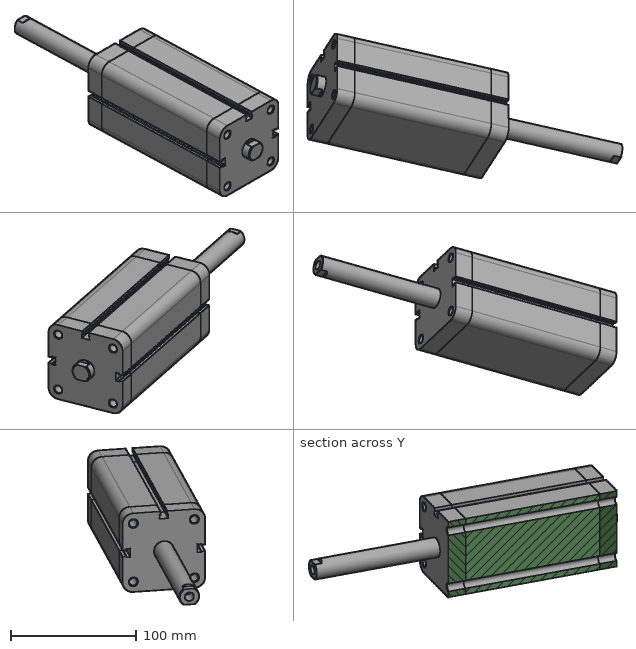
import cadquery as cq
import math

overall_length = 261.0
rod_front_reach = 107.0
rod_rear_reach = 7.8
cap_length = 15.0
body_length = overall_length - rod_front_reach - rod_rear_reach
tube_length = body_length - 2 * cap_length

rod_front_x = -overall_length / 2
rod_rear_x = overall_length / 2
front_cap_x = rod_front_x + rod_front_reach
tube_x = front_cap_x + cap_length
rear_cap_x = tube_x + tube_length

section_width = 67.0
corner_radius = 8.5
bolt_spacing = 49.5
bolt_hole_diameter = 6.5
bolt_hole_chamfer = 0.5

slot_mouth_width = 5.5
slot_mouth_depth = 3.1
slot_inner_width = 7.0
slot_depth = 6.3
slot_angles = (0, 90, -90)

rod_diameter = 16.2
flat_thickness = 13.3
flat_length = 6.0
flat_run_out = 1.0
front_chamfer = 0.4
rear_chamfer = 0.8
thread_hole_diameter = 7.3
thread_hole_depth = 14.0
drill_tip_angle = 118.0


def slot_cutter(start_x, length):
    """T-shaped prism that opens through the top face."""
    top_z = section_width / 2
    shoulder_z = top_z - slot_mouth_depth
    floor_z = top_z - slot_depth
    mouth = slot_mouth_width / 2
    inner = slot_inner_width / 2
    outline = [
        (-mouth, top_z),
        (-mouth, shoulder_z),
        (-inner, shoulder_z),
        (-inner, floor_z),
        (inner, floor_z),
        (inner, shoulder_z),
        (mouth, shoulder_z),
        (mouth, top_z),
    ]
    return cq.Workplane("YZ", origin=(start_x, 0, 0)).polyline(outline).close().extrude(length)


def profile_block(start_x, length):
    """Rounded square block with bolt holes, a rod bore and three T-slots."""
    plane = cq.Workplane("YZ", origin=(start_x, 0, 0))
    block = plane.rect(section_width, section_width).extrude(length).edges("|X").fillet(corner_radius)
    bolt_holes = (
        plane.rect(bolt_spacing, bolt_spacing, forConstruction=True)
        .vertices()
        .circle(bolt_hole_diameter / 2)
        .extrude(length)
    )
    rod_bore = plane.circle(rod_diameter / 2).extrude(length)
    block = block.cut(bolt_holes).cut(rod_bore)
    for angle in slot_angles:
        block = block.cut(slot_cutter(start_x, length).rotate((0, 0, 0), (1, 0, 0), angle))
    return block


def end_cap(start_x, outer_face):
    """Profile block whose bolt holes are chamfered on its outer face."""
    cap = profile_block(start_x, cap_length)
    hole_edges = cap.faces(outer_face).edges("%CIRCLE").edges(cq.selectors.RadiusNthSelector(0))
    return hole_edges.chamfer(bolt_hole_chamfer)


def flat_cutter(end_x, inward):
    """Prism that cuts the upper flat at a rod end, with a sloping run-out."""
    flat_z = flat_thickness / 2
    outer_z = rod_diameter / 2
    run_out_x = end_x + inward * flat_length
    outline = [
        (end_x, flat_z),
        (run_out_x, flat_z),
        (run_out_x + inward * flat_run_out, outer_z),
        (end_x, outer_z),
    ]
    return cq.Workplane("XZ").polyline(outline).close().extrude(rod_diameter / 2, both=True)


def thread_hole_cutter():
    """Blind hole with a drill tip, along the rod axis from its front end."""
    radius = thread_hole_diameter / 2
    floor_x = rod_front_x + thread_hole_depth
    tip_length = radius / math.tan(math.radians(drill_tip_angle / 2))
    outline = [
        (rod_front_x, 0),
        (rod_front_x, radius),
        (floor_x, radius),
        (floor_x + tip_length, 0),
    ]
    return cq.Workplane("XY").polyline(outline).close().revolve(360, (0, 0, 0), (1, 0, 0))


def make_rod():
    """Through rod with wrench flats at both ends."""
    rod = cq.Workplane("YZ", origin=(rod_front_x, 0, 0)).circle(rod_diameter / 2).extrude(overall_length)
    rod = rod.faces("<X").chamfer(front_chamfer).faces(">X").chamfer(rear_chamfer)
    upper_flats = (
        flat_cutter(rod_front_x, 1),
        flat_cutter(rod_rear_x, -1),
    )
    for upper_flat in upper_flats:
        rod = rod.cut(upper_flat).cut(upper_flat.mirror("XY"))
    return rod.cut(thread_hole_cutter())


cap_positions = ((front_cap_x, "<X"), (rear_cap_x, ">X"))

tube = profile_block(tube_x, tube_length)
end_caps = [end_cap(start_x, outer_face) for start_x, outer_face in cap_positions]
rod = make_rod()

result = cq.Compound.makeCompound([tube.val(), *[cap.val() for cap in end_caps], rod.val()])